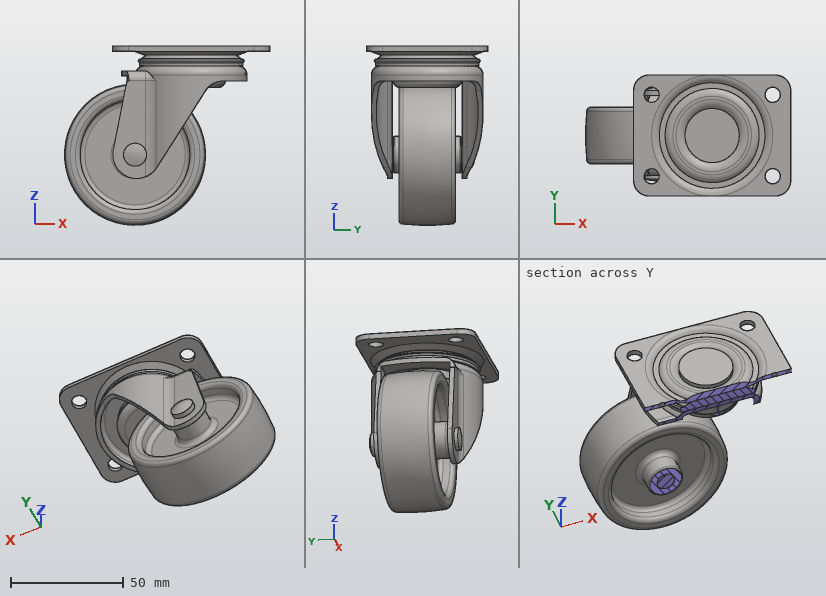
import cadquery as cq
import math


wheel_radius = 31.5
trail = 25.0
mount_height = 48.5

plate_length = 70.1
plate_width = 54.0
plate_thickness = 2.5
plate_corner_radius = 7.0
plate_hole_diameter = 6.7
plate_hole_pitch_x = 53.9
plate_hole_pitch_y = 36.2
groove_depth = 1.7
groove_outer_radius = plate_width / 2
groove_floor_outer_radius = 23.5
groove_floor_inner_radius = 20.95
groove_inner_radius = 17.5
centre_roll_radius = 16.1
centre_roll_depth = 2.0
dish_radius = 25.25
dish_floor_radius = 20.95

pin_radius = 12.1
ring_top_radius = 20.2
ring_shoulder_radius = 22.1
ring_lip_radius = 23.7
ring_radius = 23.15
lip_top_height = 42.55
lip_edge_height = 41.8
lip_bottom_height = 40.9
shoulder_height = 42.8
cup_neck_radius = 15.0
cup_radius = 15.4
cup_bottom_height = 29.8
cup_rim_height = 33.7
cup_fillet = 3.6

sheet = 2.2
fork_top = 39.5
fork_radius = 24.9
fork_top_fillet = 4.0
rim_bottom = 32.8
bridge_top = 37.3
leg_outer_y = 17.75
leg_blend_radius = 7.3
bend_radius = 4.4
bridge_front_x = -31.0
bridge_front_curve = 49.2
leg_front_x = -28.6
leg_rear_x = 9.15
leg_rear_fillet = 9.0
leg_end_x = -24.25
leg_end_radius = 10.6

wheel_half_width = 12.6
tread_half_width = 10.7
tread_edge_radius = 30.9
side_outer_radius = 28.9
side_inner_radius = 26.5
recess_fillet = 2.1
web_half_width = 5.2
hub_radius = 8.2
hub_half_width = 15.0
hub_base_fillet = 2.5
hub_edge_fillet = 0.7

axle_radius = 4.0
domed_head_radius = 5.1
domed_head_height = 1.65
domed_head_rise = 0.8
large_head_radius = 5.4
large_head_height = 2.3
large_head_rise = 1.4

plate_bottom = mount_height - plate_thickness
dish_bottom = plate_bottom - groove_depth
beyond = 54.9


def arc_middle(start, end, centre):
    """Point halfway along the shorter arc from start to end about centre."""
    mid_x = (start[0] + end[0]) / 2 - centre[0]
    mid_y = (start[1] + end[1]) / 2 - centre[1]
    scale = math.dist(start, centre) / math.hypot(mid_x, mid_y)
    return (centre[0] + mid_x * scale, centre[1] + mid_y * scale)


def roll_middle(crest, foot):
    """Middle of the arc from foot to crest that is level at the crest and drops to the foot."""
    run = foot[0] - crest[0]
    drop = crest[1] - foot[1]
    radius = (run**2 + drop**2) / (2 * drop)
    return arc_middle(crest, foot, (crest[0], crest[1] - radius))


def make_plate():
    plate = (
        cq.Workplane("XY", origin=(0, 0, plate_bottom))
        .rect(plate_length, plate_width)
        .extrude(plate_thickness)
        .edges("|Z")
        .fillet(plate_corner_radius)
        .faces(">Z")
        .workplane()
        .rect(plate_hole_pitch_x, plate_hole_pitch_y, forConstruction=True)
        .vertices()
        .hole(plate_hole_diameter)
    )
    dish = (
        cq.Workplane("XZ")
        .polyline([
            (0, dish_bottom),
            (dish_floor_radius, dish_bottom),
            (dish_radius, plate_bottom),
            (0, plate_bottom),
        ])
        .close()
        .revolve(360, (0, 0), (0, 1))
    )
    pin_hole = cq.Workplane("XY", origin=(0, 0, dish_bottom)).circle(pin_radius).extrude(beyond)
    return plate.union(dish).cut(make_plate_groove()).cut(make_plate_centre_roll()).cut(pin_hole)


def make_plate_groove():
    outer_crest = (groove_outer_radius, mount_height)
    outer_foot = (groove_floor_outer_radius, mount_height - groove_depth)
    inner_foot = (groove_floor_inner_radius, mount_height - groove_depth)
    inner_crest = (groove_inner_radius, mount_height)
    return (
        cq.Workplane("XZ")
        .moveTo(*outer_crest)
        .threePointArc(roll_middle(outer_crest, outer_foot), outer_foot)
        .lineTo(*inner_foot)
        .threePointArc(roll_middle(inner_crest, inner_foot), inner_crest)
        .close()
        .revolve(360, (0, 0), (0, 1))
    )


def make_plate_centre_roll():
    crest = (centre_roll_radius, mount_height)
    foot = (pin_radius, mount_height - centre_roll_depth)
    return (
        cq.Workplane("XZ")
        .moveTo(0, mount_height)
        .lineTo(*crest)
        .threePointArc(roll_middle(crest, foot), foot)
        .lineTo(0, foot[1])
        .close()
        .revolve(360, (0, 0), (0, 1))
    )


def make_swivel_bearing():
    cup_floor_radius = cup_radius - cup_fillet
    cup_fillet_start = (cup_radius, cup_bottom_height + cup_fillet)
    cup_fillet_end = (cup_floor_radius, cup_bottom_height)
    cup_fillet_centre = (cup_floor_radius, cup_bottom_height + cup_fillet)
    fork_underside = fork_top - sheet
    return (
        cq.Workplane("XZ")
        .moveTo(0, mount_height)
        .lineTo(pin_radius, mount_height)
        .lineTo(pin_radius, dish_bottom)
        .lineTo(ring_top_radius, dish_bottom)
        .lineTo(ring_shoulder_radius, shoulder_height)
        .lineTo(ring_shoulder_radius, lip_top_height)
        .lineTo(ring_radius, lip_top_height)
        .lineTo(ring_lip_radius, lip_edge_height)
        .lineTo(ring_radius, lip_bottom_height)
        .lineTo(ring_radius, fork_top)
        .lineTo(pin_radius, fork_top)
        .lineTo(pin_radius, fork_underside)
        .lineTo(cup_neck_radius, fork_underside)
        .lineTo(cup_neck_radius, cup_rim_height)
        .lineTo(cup_radius, cup_rim_height)
        .lineTo(*cup_fillet_start)
        .threePointArc(arc_middle(cup_fillet_start, cup_fillet_end, cup_fillet_centre), cup_fillet_end)
        .lineTo(0, cup_bottom_height)
        .close()
        .revolve(360, (0, 0), (0, 1))
    )


def make_fork_form(inset):
    """Round skirt and straddling nose enclosed by the fork's outer skin, moved inwards by inset."""
    fork_floor = -leg_end_radius - sheet
    skirt = (
        cq.Workplane("XY", origin=(0, 0, fork_floor))
        .circle(fork_radius - inset)
        .extrude(fork_top - inset - fork_floor)
        .faces(">Z")
        .edges()
        .fillet(fork_top_fillet - inset)
    )

    blend_centre_y = leg_outer_y + leg_blend_radius
    centre_distance = fork_radius + leg_blend_radius
    blend_centre = (-math.sqrt(centre_distance**2 - blend_centre_y**2), blend_centre_y)
    share = (fork_radius - inset) / centre_distance
    blend_end = (blend_centre[0] * share, blend_centre[1] * share)
    blend_start = (blend_centre[0], leg_outer_y - inset)
    blend_mid = arc_middle(blend_start, blend_end, blend_centre)
    nose = (
        cq.Workplane("XY", origin=(0, 0, fork_floor))
        .moveTo(-beyond, -blend_start[1])
        .lineTo(blend_start[0], -blend_start[1])
        .threePointArc((blend_mid[0], -blend_mid[1]), (blend_end[0], -blend_end[1]))
        .lineTo(*blend_end)
        .threePointArc(blend_mid, blend_start)
        .lineTo(-beyond, blend_start[1])
        .close()
        .extrude(bridge_top - inset - fork_floor)
    )
    return skirt, nose


def make_fork_shell():
    outer_skirt, outer_nose = make_fork_form(0)
    inner_skirt, inner_nose = make_fork_form(sheet)
    bent_nose = outer_nose.faces(">Z").edges("(not <X) and (not >X)").fillet(bend_radius)
    return outer_skirt.union(bent_nose).cut(inner_skirt).cut(inner_nose)


def tangent_point(point, centre, radius, side):
    """Where a line from point touches a circle; side is +1 or -1."""
    distance = math.dist(point, centre)
    angle = math.atan2(point[1] - centre[1], point[0] - centre[0])
    angle += side * math.acos(radius / distance)
    return (centre[0] + radius * math.cos(angle), centre[1] + radius * math.sin(angle))


def make_leg_outline():
    """Side outline of the fork, right through its width."""
    end_centre = (leg_end_x, 0)
    front_corner = (leg_front_x, rim_bottom)
    rear_corner = (leg_rear_x, rim_bottom)
    front_touch = tangent_point(front_corner, end_centre, leg_end_radius, 1)
    rear_touch = tangent_point(rear_corner, end_centre, leg_end_radius, -1)
    outline = (
        cq.Workplane("XZ", origin=(0, beyond, 0))
        .moveTo(-beyond, mount_height)
        .lineTo(-beyond, rim_bottom)
        .lineTo(*front_corner)
        .lineTo(*front_touch)
        .threePointArc((leg_end_x, -leg_end_radius), rear_touch)
        .lineTo(*rear_corner)
        .lineTo(beyond, rim_bottom)
        .lineTo(beyond, mount_height)
        .close()
        .extrude(2 * beyond)
    )
    rear_edge = cq.selectors.NearestToPointSelector((leg_rear_x, 0, rim_bottom))
    return outline.edges("|Y").edges(rear_edge).fillet(leg_rear_fillet)


def make_bridge_trim():
    """Everything in front of the curved front edge of the bridge."""
    trim_height = mount_height - rim_bottom
    plane = cq.Workplane("XY", origin=(0, 0, rim_bottom))
    front = plane.center(-beyond, 0).rect(2 * beyond, 2 * beyond).extrude(trim_height)
    curve_centre_x = bridge_front_x + bridge_front_curve
    kept = plane.center(curve_centre_x, 0).circle(bridge_front_curve).extrude(trim_height)
    return front.cut(kept)


def make_fork(axle_body):
    """Fork with a hole for the swivel pin and an exact seat for the axle and its heads."""
    pin_hole = cq.Workplane("XY").circle(pin_radius).extrude(mount_height)
    return (
        make_fork_shell()
        .intersect(make_leg_outline())
        .cut(make_bridge_trim())
        .cut(pin_hole)
        .cut(axle_body)
    )


def make_wheel():
    """Half the section (radius, width) is turned and mirrored; a crowned tread ring is added."""
    recess_radius = side_inner_radius - recess_fillet
    web_radius = recess_radius - recess_fillet
    rim_start = (side_inner_radius, wheel_half_width)
    rim_end = (recess_radius, wheel_half_width - recess_fillet)
    web_start = (recess_radius, web_half_width + recess_fillet)
    web_end = (web_radius, web_half_width)
    base_start = (hub_radius + hub_base_fillet, web_half_width)
    base_end = (hub_radius, web_half_width + hub_base_fillet)
    edge_start = (hub_radius, hub_half_width - hub_edge_fillet)
    edge_end = (hub_radius - hub_edge_fillet, hub_half_width)
    shoulder_start = (tread_edge_radius, tread_half_width)
    shoulder_end = (side_outer_radius, wheel_half_width)
    shoulder_middle = arc_middle(shoulder_start, shoulder_end, (side_outer_radius, tread_half_width))
    half = (
        cq.Workplane("XY")
        .moveTo(axle_radius, 0)
        .lineTo(tread_edge_radius, 0)
        .lineTo(*shoulder_start)
        .threePointArc(shoulder_middle, shoulder_end)
        .lineTo(*rim_start)
        .threePointArc(arc_middle(rim_start, rim_end, (rim_start[0], rim_end[1])), rim_end)
        .lineTo(*web_start)
        .threePointArc(arc_middle(web_start, web_end, (web_end[0], web_start[1])), web_end)
        .lineTo(*base_start)
        .threePointArc(arc_middle(base_start, base_end, (base_start[0], base_end[1])), base_end)
        .lineTo(*edge_start)
        .threePointArc(arc_middle(edge_start, edge_end, (edge_end[0], edge_start[1])), edge_end)
        .lineTo(axle_radius, hub_half_width)
        .close()
        .revolve(360, (0, 0), (0, 1))
    )
    crown = (
        cq.Workplane("XY")
        .moveTo(side_outer_radius, -tread_half_width)
        .lineTo(tread_edge_radius, -tread_half_width)
        .threePointArc((wheel_radius, 0), shoulder_start)
        .lineTo(side_outer_radius, tread_half_width)
        .close()
        .revolve(360, (0, 0), (0, 1))
    )
    wheel = half.union(half.mirror("XZ")).union(crown)
    return wheel.translate((-trail, 0, 0))


def make_axle_half(head_radius, head_height, head_rise):
    """Half axle along +Y from the wheel's middle plane, with a low domed head outside the leg."""
    head_edge = leg_outer_y + head_height
    head_tip = head_edge + head_rise
    dome_radius = (head_radius**2 + head_rise**2) / (2 * head_rise)
    rim = (head_radius, head_edge)
    tip = (0, head_tip)
    return (
        cq.Workplane("XY")
        .lineTo(axle_radius, 0)
        .lineTo(axle_radius, leg_outer_y)
        .lineTo(head_radius, leg_outer_y)
        .lineTo(*rim)
        .threePointArc(arc_middle(rim, tip, (0, head_tip - dome_radius)), tip)
        .close()
        .revolve(360, (0, 0), (0, 1))
    )


def make_axle():
    domed_half = make_axle_half(domed_head_radius, domed_head_height, domed_head_rise)
    large_half = make_axle_half(large_head_radius, large_head_height, large_head_rise)
    return domed_half.mirror("XZ").union(large_half).translate((-trail, 0, 0))


plate = make_plate()
swivel_bearing = make_swivel_bearing()
wheel = make_wheel()
axle = make_axle()
fork = make_fork(axle)

result = cq.Compound.makeCompound([
    plate.solids().val(),
    swivel_bearing.solids().val(),
    fork.solids().val(),
    wheel.solids().val(),
    axle.solids().val(),
])